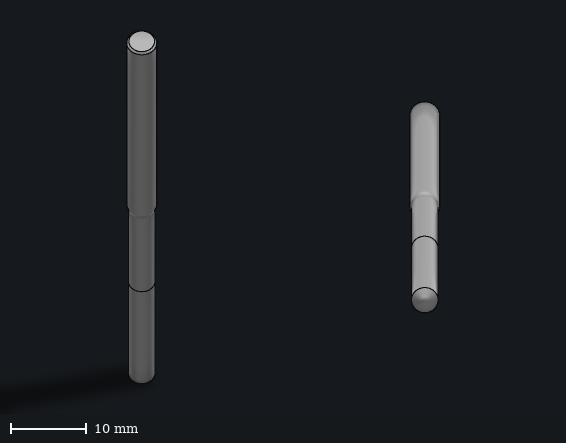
import cadquery as cq
import math

total_length = 74.0
shank_diameter = 4.0
cutting_diameter = 3.55

cutting_length = 21.0
shank_length = 36.05
shank_end_chamfer = 0.3
shoulder_height = 0.8
point_angle = 140.0

shank_radius = shank_diameter / 2
cutting_radius = cutting_diameter / 2
shank_bottom = total_length - shank_length
shoulder_bottom = shank_bottom - shoulder_height
point_height = cutting_radius / math.tan(math.radians(point_angle / 2))


def revolve_profile(points):
    """Revolve a closed (radius, height) outline about the Z axis."""
    return cq.Workplane("XZ").polyline(points).close().revolve(360, (0, 0, 0), (0, 1, 0))


def make_cutting_section():
    """Cylindrical cutting section ending in a conical point."""
    return revolve_profile([
        (0, 0),
        (cutting_radius, point_height),
        (cutting_radius, cutting_length),
        (0, cutting_length),
    ])


def make_shank():
    """Neck, tapered shoulder and chamfered clamping shank in one piece."""
    return revolve_profile([
        (0, cutting_length),
        (cutting_radius, cutting_length),
        (cutting_radius, shoulder_bottom),
        (shank_radius, shank_bottom),
        (shank_radius, total_length - shank_end_chamfer),
        (shank_radius - shank_end_chamfer, total_length),
        (0, total_length),
    ])


cutting_section = make_cutting_section()
shank = make_shank()

result = cq.Compound.makeCompound([cutting_section.val(), shank.val()])